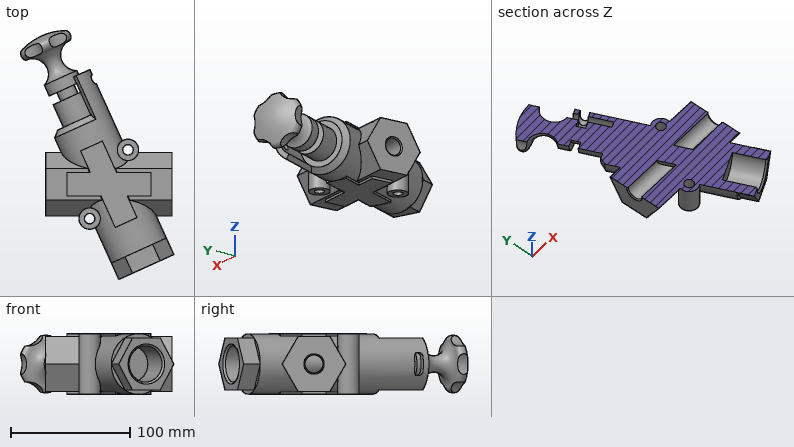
import cadquery as cq
import math

TILT = 24.4
HALF_HEIGHT = 50.8 / 2

PIPE_LENGTH = 106.2
PIPE_ACROSS_FLATS = 46.2
PIPE_BORE_RADIUS = 15.0 / 2
PIPE_BORE_CHAMFER = 1.0

PAD_LENGTH = 70.5
PAD_WIDTH = 20.0

BOSS_RADIUS = 18.0 / 2
BOSS_HOLE_RADIUS = 8.5 / 2
BOSS_X = 16.0
BOSS_Y = 28.8

BARREL_RADIUS = HALF_HEIGHT
BARREL_BOTTOM = -61.0
BARREL_TOP = 59.1
BARREL_BEVEL = 5.0

SPINDLE_RADIUS = 10.0

INLET_END = -76.3
INLET_BORE_RADIUS = 30.3 / 2
INLET_BORE_DEPTH = 30.5
INLET_BORE_CHAMFER = 1.7

GUARD_INNER_RADIUS = BARREL_RADIUS - BARREL_BEVEL
GUARD_TOP = 94.3
GUARD_HALF_ANGLE = 60.0
SLOT_CENTRE = 85.3
SLOT_HEIGHT = 8.0
SLOT_LENGTH = 19.6

PLUNGER_RADIUS = 30.0 / 2
PLUNGER_TOP = 80.0
STEM_RADIUS = 16.0 / 2
COLLAR_BOTTOM = 88.0
WAIST_CENTRE = 110.1
WAIST_RADIUS = 14.0 / 2
WAIST_ARC_RADIUS = 13.2
RIM_RADIUS = 24.2
RIM_EDGE_RADIUS = WAIST_RADIUS + WAIST_ARC_RADIUS
RIM_BOTTOM = WAIST_CENTRE + WAIST_ARC_RADIUS
RIM_TOP = 132.5
KNOB_TOP = 136.7
SCALLOP_COUNT = 6
SCALLOP_RADIUS = 30.0 / 2
SCALLOP_DEPTH = 4.4


def pipe():
    corner_diameter = PIPE_ACROSS_FLATS / math.cos(math.pi / 6)
    base = cq.Workplane("YZ", origin=(-PIPE_LENGTH / 2, 0, 0))
    return base.polygon(6, corner_diameter).extrude(PIPE_LENGTH)


def pipe_bore():
    """Bore through both pipe ends, chamfered at its mouths and interrupted by the spindle."""
    end = PIPE_LENGTH / 2
    mouth_radius = PIPE_BORE_RADIUS + PIPE_BORE_CHAMFER
    outline = [
        (-end, 0),
        (-end, mouth_radius),
        (-end + PIPE_BORE_CHAMFER, PIPE_BORE_RADIUS),
        (end - PIPE_BORE_CHAMFER, PIPE_BORE_RADIUS),
        (end, mouth_radius),
        (end, 0),
    ]
    bore = cq.Workplane("XY").polyline(outline).close().revolve(360, (0, 0), (1, 0))
    return bore.cut(tilted(spindle()))


def spindle():
    """Round core on the barrel axis that the pipe bore stops against from both sides."""
    length = BARREL_TOP - BARREL_BOTTOM
    return cq.Workplane("XZ", origin=(0, BARREL_TOP, 0)).circle(SPINDLE_RADIUS).extrude(length)


def pads():
    along_pipe = cq.Workplane("XY").box(PAD_LENGTH, PAD_WIDTH, 2 * HALF_HEIGHT)
    return along_pipe.union(along_pipe.rotate((0, 0, 0), (0, 0, 1), 90 + TILT))


def boss_cylinders(radius):
    centres = [(BOSS_X, BOSS_Y), (-BOSS_X, -BOSS_Y)]
    base = cq.Workplane("XY", origin=(0, 0, -HALF_HEIGHT))
    return base.pushPoints(centres).circle(radius).extrude(2 * HALF_HEIGHT)


def barrel():
    outline = [
        (0, BARREL_BOTTOM),
        (BARREL_RADIUS, BARREL_BOTTOM),
        (BARREL_RADIUS, BARREL_TOP - BARREL_BEVEL),
        (BARREL_RADIUS - BARREL_BEVEL, BARREL_TOP),
        (0, BARREL_TOP),
    ]
    return cq.Workplane("XY").polyline(outline).close().revolve(360, (0, 0), (0, 1))


def inlet():
    base = cq.Workplane("XZ", origin=(0, BARREL_BOTTOM, 0))
    return base.polygon(6, 2 * BARREL_RADIUS).extrude(BARREL_BOTTOM - INLET_END)


def inlet_bore():
    outline = [
        (0, INLET_END),
        (INLET_BORE_RADIUS + INLET_BORE_CHAMFER, INLET_END),
        (INLET_BORE_RADIUS, INLET_END + INLET_BORE_CHAMFER),
        (INLET_BORE_RADIUS, INLET_END + INLET_BORE_DEPTH),
        (0, INLET_END + INLET_BORE_DEPTH),
    ]
    return cq.Workplane("XY").polyline(outline).close().revolve(360, (0, 0), (0, 1))


def guard():
    bottom = BARREL_TOP - BARREL_BEVEL
    wall = BARREL_RADIUS - GUARD_INNER_RADIUS
    middle_radius = GUARD_INNER_RADIUS + wall / 2
    sleeve = (
        cq.Workplane("XY")
        .center(middle_radius, (bottom + GUARD_TOP) / 2)
        .rect(wall, GUARD_TOP - bottom)
        .revolve(2 * GUARD_HALF_ANGLE, (-middle_radius, 0), (-middle_radius, 1))
        .rotate((0, 0, 0), (0, 1, 0), -GUARD_HALF_ANGLE)
    )
    slot = (
        cq.Workplane("YZ")
        .center(SLOT_CENTRE, 0)
        .slot2D(SLOT_LENGTH, SLOT_HEIGHT, 90)
        .extrude(BARREL_RADIUS)
    )
    return sleeve.cut(slot)


def knob():
    collar_offset = WAIST_RADIUS + WAIST_ARC_RADIUS - PLUNGER_RADIUS
    waist_drop = math.sqrt(WAIST_ARC_RADIUS**2 - collar_offset**2)

    dome_height = KNOB_TOP - RIM_TOP
    dome_radius = (RIM_EDGE_RADIUS**2 + dome_height**2) / (2 * dome_height)
    half_edge = RIM_EDGE_RADIUS / 2
    dome_midpoint = (half_edge, KNOB_TOP - dome_radius + math.sqrt(dome_radius**2 - half_edge**2))

    turned = (
        cq.Workplane("XY")
        .moveTo(0, BARREL_TOP)
        .lineTo(PLUNGER_RADIUS, BARREL_TOP)
        .lineTo(PLUNGER_RADIUS, PLUNGER_TOP)
        .lineTo(STEM_RADIUS, PLUNGER_TOP)
        .lineTo(STEM_RADIUS, COLLAR_BOTTOM)
        .lineTo(PLUNGER_RADIUS, COLLAR_BOTTOM)
        .lineTo(PLUNGER_RADIUS, WAIST_CENTRE - waist_drop)
        .threePointArc((WAIST_RADIUS, WAIST_CENTRE), (RIM_EDGE_RADIUS, RIM_BOTTOM))
        .threePointArc((RIM_RADIUS, (RIM_BOTTOM + RIM_TOP) / 2), (RIM_EDGE_RADIUS, RIM_TOP))
        .threePointArc(dome_midpoint, (0, KNOB_TOP))
        .close()
        .revolve(360, (0, 0), (0, 1))
    )
    scallop_centre = RIM_RADIUS - SCALLOP_DEPTH + SCALLOP_RADIUS
    scallops = (
        cq.Workplane("XZ", origin=(0, KNOB_TOP, 0))
        .polarArray(scallop_centre, 0, 360, SCALLOP_COUNT)
        .circle(SCALLOP_RADIUS)
        .extrude(KNOB_TOP - WAIST_CENTRE)
    )
    return turned.cut(scallops)


def tilted(shape):
    return shape.rotate((0, 0, 0), (0, 0, 1), TILT)


result = (
    pipe()
    .union(pads())
    .union(tilted(barrel().union(inlet()).union(guard()).union(knob())))
    .union(boss_cylinders(BOSS_RADIUS))
    .cut(boss_cylinders(BOSS_HOLE_RADIUS))
    .cut(tilted(inlet_bore()))
    .cut(pipe_bore())
)